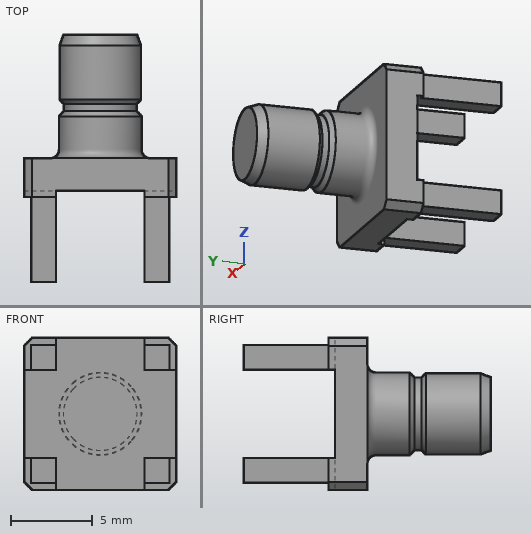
import cadquery as cq
import math

total_length = 15.16
flange_side = 9.34
flange_thickness = 2.4
corner_chamfer = 0.5
barrel_length = 7.56

recess_width = 5.4
recess_depth = 0.4

leg_side = 1.53
leg_length = total_length - barrel_length - flange_thickness
leg_offset = (recess_width + leg_side) / 2

tip_radius = 2.26
head_radius = 2.5
neck_radius = 2.25
shank_radius = 2.55
root_fillet = 0.5

shank_end = 2.56
neck_start = 2.88
neck_end = 3.32
head_start = 3.58
tip_chamfer_length = 0.65
head_end = barrel_length - tip_chamfer_length


def make_flange():
    """Chamfered square plate with a cross recess that leaves four corner pads."""
    plate = (
        cq.Workplane("XY")
        .box(flange_side, flange_thickness, flange_side)
        .edges("|Y")
        .chamfer(corner_chamfer)
        .translate((0, -flange_thickness / 2, 0))
    )
    recess_center_y = -flange_thickness + recess_depth / 2
    for width, height in ((flange_side, recess_width), (recess_width, flange_side)):
        slot = cq.Workplane("XY").box(width, recess_depth, height)
        plate = plate.cut(slot.translate((0, recess_center_y, 0)))
    return plate


def make_barrel():
    """Turned barrel with a filleted root, a snap groove and a tapered tip."""
    arc_mid = root_fillet * (1 - math.sqrt(0.5))
    profile = (
        cq.Workplane("XY")
        .moveTo(0, 0)
        .lineTo(shank_radius + root_fillet, 0)
        .threePointArc((shank_radius + arc_mid, arc_mid), (shank_radius, root_fillet))
        .lineTo(shank_radius, shank_end)
        .lineTo(neck_radius, neck_start)
        .lineTo(neck_radius, neck_end)
        .lineTo(head_radius, head_start)
        .lineTo(head_radius, head_end)
        .lineTo(tip_radius, barrel_length)
        .lineTo(0, barrel_length)
        .close()
    )
    return profile.revolve(360, (0, 0, 0), (0, 1, 0))


def make_leg(x, z):
    """Square leg running to -Y from a corner pad."""
    center_y = -flange_thickness - leg_length / 2
    return cq.Workplane("XY").box(leg_side, leg_length, leg_side).translate((x, center_y, z))


result = make_flange().union(make_barrel())
for x in (-leg_offset, leg_offset):
    for z in (-leg_offset, leg_offset):
        result = result.union(make_leg(x, z))